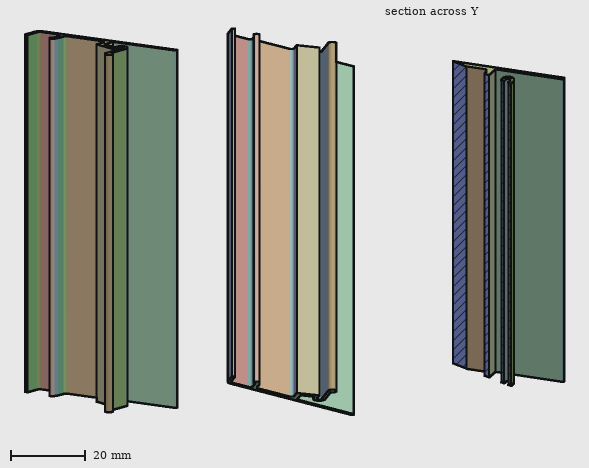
import cadquery as cq
import math

length = 100.0
width = 39.4
depth = 18.7

roof_angle = 19.3
thin_wall = 0.9
thick_wall = 1.5
inner_bend_radius = 0.9
outer_bend_radius = inner_bend_radius + thin_wall
tip_radius = 0.35

leg_left = 7.5
leg_right = 8.8
hook_radius = 0.8
hook_center_x = 7.7
taper_start = 4.0
hook_top = 3.2
foot_bottom = 1.9

web_left = 20.2
web_thickness = 1.5
floor_bottom = 7.0
floor_thickness = 1.5
loop_center_x = 27.2
loop_center_y = 9.5
loop_outer_radius = 1.6
loop_inner_radius = 0.65
bead_radius = 1.1
root_fillet = 0.8

slope = math.tan(math.radians(roof_angle))
vertical_factor = 1 / math.cos(math.radians(roof_angle))
tip_center_x = width - tip_radius
tip_center_y = depth - tip_radius


def roof_y(x, offset=0.0):
    """Height of the roof's upper face at x, lowered by a thickness."""
    upper = tip_center_y + tip_radius * vertical_factor + (x - tip_center_x) * slope
    return upper - offset * vertical_factor


def extrude_polygon(points):
    return cq.Workplane("XY").polyline(points).close().extrude(length)


def block(left, right, bottom, top):
    return extrude_polygon([(left, bottom), (right, bottom), (right, top), (left, top)])


def rod(x, y, radius):
    return cq.Workplane("XY").center(x, y).circle(radius).extrude(length)


def round_edge(body, x, y, radius):
    """Fillet the lengthwise edge that runs through (x, y)."""
    edge = cq.selectors.NearestToPointSelector((x, y, length / 2))
    return body.edges(edge).fillet(radius)


def make_roof():
    """Thin roof with a vertical lip, a rounded bend and a rounded free edge."""
    roof = extrude_polygon([
        (0, 0),
        (thin_wall, 0),
        (thin_wall, roof_y(thin_wall, thin_wall)),
        (width, roof_y(width, thin_wall)),
        (width, roof_y(width)),
        (0, roof_y(0)),
    ])
    roof = round_edge(roof, 0, roof_y(0), outer_bend_radius)
    roof = round_edge(roof, thin_wall, roof_y(thin_wall, thin_wall), inner_bend_radius)
    for offset in (0, thin_wall):
        roof = round_edge(roof, width, roof_y(width, offset), tip_radius)
    return roof


def make_thick_roof():
    """Thicker roof stretch between the leg and the channel web."""
    left = leg_left
    right = web_left + web_thickness
    return extrude_polygon([
        (left, roof_y(left, thick_wall)),
        (right, roof_y(right, thick_wall)),
        (right, roof_y(right, thin_wall / 2)),
        (left, roof_y(left, thin_wall / 2)),
    ])


def make_hooked_leg():
    """Leg tapering into a round hook that opens upward on its left side."""
    hook_y = foot_bottom + hook_radius
    leg_top = roof_y(leg_left, thin_wall / 2)
    leg = extrude_polygon([
        (leg_left, hook_y),
        (hook_center_x + hook_radius, hook_y),
        (leg_right, taper_start),
        (leg_right, leg_top),
        (leg_left, leg_top),
    ])
    hook = rod(hook_center_x, hook_y, hook_radius)
    above_hook = block(hook_center_x - hook_radius, leg_left, hook_top, hook_y + hook_radius)
    return leg.union(hook.cut(above_hook))


def make_channel():
    """Web hanging from the roof and the channel floor at its lower end."""
    web_right = web_left + web_thickness
    floor_right = loop_center_x - loop_inner_radius
    floor_top = floor_bottom + floor_thickness
    web = block(web_left, web_right, floor_bottom, roof_y(web_left, thin_wall / 2))
    floor = block(web_left, floor_right, floor_bottom, floor_top)
    return web.union(floor)


def make_spring_clip():
    """Half-round loop joining the channel floor to a beaded leg."""
    inner_left = loop_center_x - loop_inner_radius
    inner_right = loop_center_x + loop_inner_radius
    outer_left = loop_center_x - loop_outer_radius
    outer_right = loop_center_x + loop_outer_radius
    bead_y = foot_bottom + bead_radius
    clip = (
        cq.Workplane("XY")
        .moveTo(outer_left, floor_bottom)
        .lineTo(outer_left, loop_center_y)
        .threePointArc((loop_center_x, loop_center_y + loop_outer_radius), (outer_right, loop_center_y))
        .lineTo(outer_right, bead_y)
        .lineTo(inner_right, bead_y)
        .lineTo(inner_right, loop_center_y)
        .threePointArc((loop_center_x, loop_center_y + loop_inner_radius), (inner_left, loop_center_y))
        .lineTo(inner_left, floor_bottom)
        .close()
        .extrude(length)
    )
    return clip.union(rod(inner_right + bead_radius, bead_y, bead_radius))


result = make_roof()
for feature in (make_thick_roof(), make_hooked_leg(), make_channel(), make_spring_clip()):
    result = result.union(feature)
result = result.clean()

roots = [
    (leg_left, thin_wall),
    (leg_right, thick_wall),
    (web_left, thick_wall),
]
for root_x, wall in roots:
    result = round_edge(result, root_x, roof_y(root_x, wall), root_fillet)